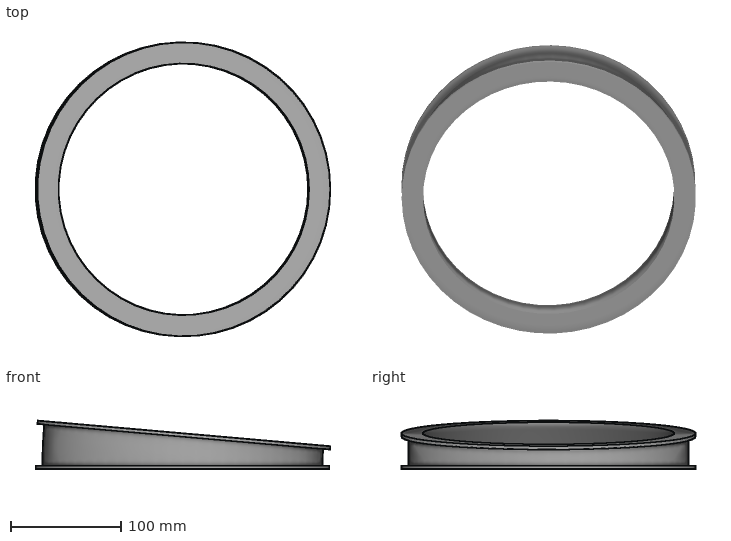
import cadquery as cq
import math

bend_angle = 5.0
bend_radius = 373.7
flange_diameter = 267.0
flange_thickness = 3.2
pipe_outer_diameter = 254.5
pipe_inner_diameter = 228.3

bend_axis_start = (bend_radius, 0)
bend_axis_end = (bend_radius, 1)


def bend_sweep(diameter):
    """Disc on the base plane swept along the bend."""
    disc = cq.Workplane("XY").circle(diameter / 2)
    return disc.revolve(bend_angle, bend_axis_start, bend_axis_end)


def flange_disc(plane, thickness):
    """Solid flange disc extruded along the normal of the plane."""
    return cq.Workplane(plane).circle(flange_diameter / 2).extrude(thickness)


bend_angle_rad = math.radians(bend_angle)
top_centre = (
    bend_radius * (1 - math.cos(bend_angle_rad)),
    0,
    bend_radius * math.sin(bend_angle_rad),
)
top_plane = cq.Plane(
    origin=top_centre,
    xDir=(math.cos(bend_angle_rad), 0, -math.sin(bend_angle_rad)),
    normal=(math.sin(bend_angle_rad), 0, math.cos(bend_angle_rad)),
)

base_flange = flange_disc("XY", flange_thickness)
top_flange = flange_disc(top_plane, -flange_thickness)

outer_body = bend_sweep(pipe_outer_diameter).union(base_flange).union(top_flange)
result = outer_body.cut(bend_sweep(pipe_inner_diameter))